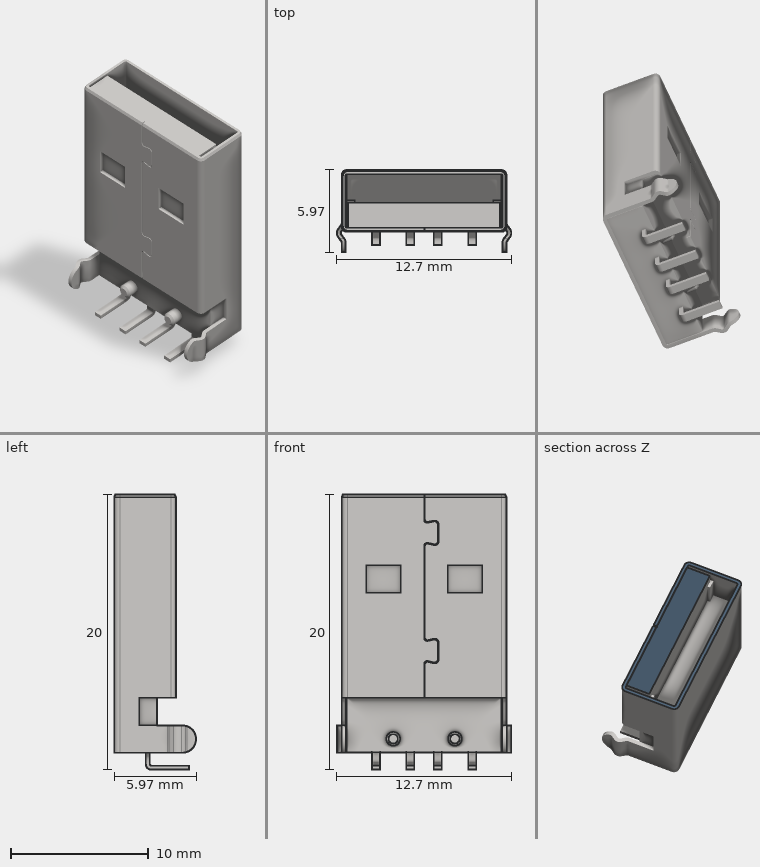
import cadquery as cq
import math


shell_width = 12.0
shell_depth = 4.5
shell_height = 18.8
wall = 0.3
corner_radius = 0.4
rim_chamfer_inset = 0.1
rim_chamfer_height = 0.2
front_wall_bottom = 4.0
notch_back_depth = 1.85

window_width = 2.5
window_height = 2.0
window_offset = 2.96
window_top_drop = 5.17

seam_gap = 0.06
key_reach = 1.0
key_neck_height = 1.32
key_head_height = 1.8
key_radius = 0.25
key_drops = (2.8, 11.4)

tab_height = 2.0
tab_end_depth = 5.97
crest_depth = 4.58
crest_rise = 0.35
bend_angle = 36.0
bend_inner_radius = 0.2

base_width = 11.25
base_front_depth = 3.12
base_bottom = 0.06
base_top = 6.0
tongue_width = 11.01
tongue_back_depth = 2.4
rib_width = 0.6
rib_back_depth = 2.2
rib_top = 8.0

peg_diameter = 1.0
peg_length = 0.96
peg_chamfer = 0.16
peg_offset = 2.25
peg_height = 1.02

pin_positions = (-3.5, -1.0, 1.0, 3.5)
pin_width = 0.6
pin_thickness = 0.3
pin_back_depth = 2.3
pin_end_depth = 5.47
pin_drop = 1.22
pin_inner_radius = 0.1
pin_insertion = 2.0

half_width = shell_width / 2
inner_front_depth = shell_depth - wall
clearance = 1.0


def block(x_size, depth_from, depth_to, bottom, top, x_centre=0.0):
    """A box given by its distances from the back face and by its Z range."""
    return (
        cq.Workplane("XY")
        .box(x_size, depth_to - depth_from, top - bottom, centered=(True, False, False))
        .translate((x_centre, -depth_to, bottom))
    )


def seam_cutter():
    """A thin gap along the edge of the left half of the front wall and its two keys."""
    edge = [(0, shell_height + clearance)]
    for drop in key_drops:
        middle = shell_height - drop
        edge += [
            (0, middle + key_neck_height / 2),
            (key_reach, middle + key_head_height / 2),
            (key_reach, middle - key_head_height / 2),
            (0, middle - key_neck_height / 2),
        ]
    far_left = -half_width - clearance
    bottom = front_wall_bottom - clearance
    edge += [(0, bottom), (far_left, bottom), (far_left, shell_height + clearance)]

    half = (
        cq.Workplane("XZ", origin=(0, -inner_front_depth, 0))
        .polyline(edge)
        .close()
        .extrude(wall)
        .edges("|Y")
        .fillet(key_radius)
    )
    widened = half.faces(">Y").wires().toPending().offset2D(seam_gap).extrude(wall)
    return widened.cut(half)


def bent_tab():
    """The right-hand mounting tab: a strip that bends outwards, back again and ends in a half round."""
    angle = math.radians(bend_angle)
    bend_outer_radius = bend_inner_radius + wall
    radius_sum = bend_inner_radius + bend_outer_radius
    slant = (crest_rise - radius_sum * (1 - math.cos(angle))) / math.sin(angle)
    half_length = radius_sum * math.sin(angle) + slant * math.cos(angle)
    start = -crest_depth + half_length
    end = -crest_depth - half_length
    crest_centre_x = half_width + crest_rise - bend_outer_radius
    foot_centre_x = half_width + bend_inner_radius

    def foot(y, radius, turn):
        return (foot_centre_x - radius * math.cos(turn), y + radius * math.sin(turn))

    def crest(radius, turn):
        return (crest_centre_x + radius * math.cos(turn), -crest_depth + radius * math.sin(turn))

    profile = cq.Workplane("XY").moveTo(half_width, -notch_back_depth).lineTo(half_width, start)
    profile = (
        profile
        .threePointArc(foot(start, bend_inner_radius, -angle / 2), foot(start, bend_inner_radius, -angle))
        .lineTo(*crest(bend_outer_radius, angle))
        .threePointArc(crest(bend_outer_radius, 0), crest(bend_outer_radius, -angle))
        .lineTo(*foot(end, bend_inner_radius, angle))
        .threePointArc(foot(end, bend_inner_radius, angle / 2), foot(end, bend_inner_radius, 0))
        .lineTo(half_width, -tab_end_depth)
        .lineTo(half_width - wall, -tab_end_depth)
        .lineTo(half_width - wall, end)
        .threePointArc(foot(end, bend_outer_radius, angle / 2), foot(end, bend_outer_radius, angle))
        .lineTo(*crest(bend_inner_radius, -angle))
        .threePointArc(crest(bend_inner_radius, 0), crest(bend_inner_radius, angle))
        .lineTo(*foot(start, bend_outer_radius, -angle))
        .threePointArc(foot(start, bend_outer_radius, -angle / 2), foot(start, bend_outer_radius, 0))
        .lineTo(half_width - wall, -notch_back_depth)
        .close()
    )
    strip = profile.extrude(tab_height)

    end_radius = tab_height / 2
    outline = (
        cq.Workplane("YZ")
        .moveTo(-notch_back_depth, 0)
        .lineTo(-tab_end_depth + end_radius, 0)
        .threePointArc((-tab_end_depth, end_radius), (-tab_end_depth + end_radius, tab_height))
        .lineTo(-notch_back_depth, tab_height)
        .close()
        .extrude(half_width + clearance)
    )
    return strip.intersect(outline)


def make_shell():
    shell = block(shell_width, 0, shell_depth, 0, shell_height).edges("|Z").fillet(corner_radius)
    shell = shell.faces(">Z").chamfer(rim_chamfer_height, rim_chamfer_inset)
    cavity = block(shell_width - 2 * wall, wall, inner_front_depth, 0, shell_height)
    cavity = cavity.edges("|Z").fillet(corner_radius - wall)
    shell = shell.cut(cavity)
    shell = shell.cut(block(shell_width, notch_back_depth, shell_depth, 0, front_wall_bottom))

    window_top = shell_height - window_top_drop
    for side in (-1, 1):
        window = block(
            window_width, inner_front_depth, shell_depth,
            window_top - window_height, window_top, side * window_offset,
        )
        shell = shell.cut(window)
    shell = shell.cut(seam_cutter())

    tab = bent_tab()
    return shell.union(tab).union(tab.mirror("YZ"))


def make_pin(x):
    """An L-shaped strip that leaves the insulator downwards and bends forward."""
    back = -pin_back_depth
    underside = -pin_drop
    outer_radius = pin_inner_radius + pin_thickness
    top = base_bottom + pin_insertion
    pin = (
        cq.Workplane("YZ", origin=(x - pin_width / 2, 0, 0))
        .polyline([
            (back, top),
            (back, underside),
            (-pin_end_depth, underside),
            (-pin_end_depth, underside + pin_thickness),
            (back - pin_thickness, underside + pin_thickness),
            (back - pin_thickness, top),
        ])
        .close()
        .extrude(pin_width)
    )
    inner_corner = cq.NearestToPointSelector((x, back - pin_thickness, underside + pin_thickness))
    outer_corner = cq.NearestToPointSelector((x, back, underside))
    pin = pin.edges("|X").edges(inner_corner).fillet(pin_inner_radius)
    return pin.edges("|X").edges(outer_corner).fillet(outer_radius)


def make_insulator(pins):
    insulator = block(base_width, wall, base_front_depth, base_bottom, base_top)
    collar = block(base_width, wall, inner_front_depth, front_wall_bottom, base_top)
    tongue = block(tongue_width, tongue_back_depth, inner_front_depth, front_wall_bottom, shell_height)
    insulator = insulator.union(collar).union(tongue)
    for side in (-1, 1):
        rib_centre = side * (base_width - rib_width) / 2
        rib = block(rib_width, rib_back_depth, base_front_depth, base_bottom, rib_top, rib_centre)
        peg = (
            cq.Workplane("XZ", origin=(side * peg_offset, -base_front_depth, peg_height))
            .circle(peg_diameter / 2)
            .extrude(peg_length)
            .faces("<Y")
            .chamfer(peg_chamfer)
        )
        insulator = insulator.union(rib).union(peg)
    for pin in pins:
        insulator = insulator.cut(pin)
    return insulator


shell = make_shell()
pins = [make_pin(x) for x in pin_positions]
insulator = make_insulator(pins)

result = cq.Compound.makeCompound([shell.val(), insulator.val(), *[pin.val() for pin in pins]])